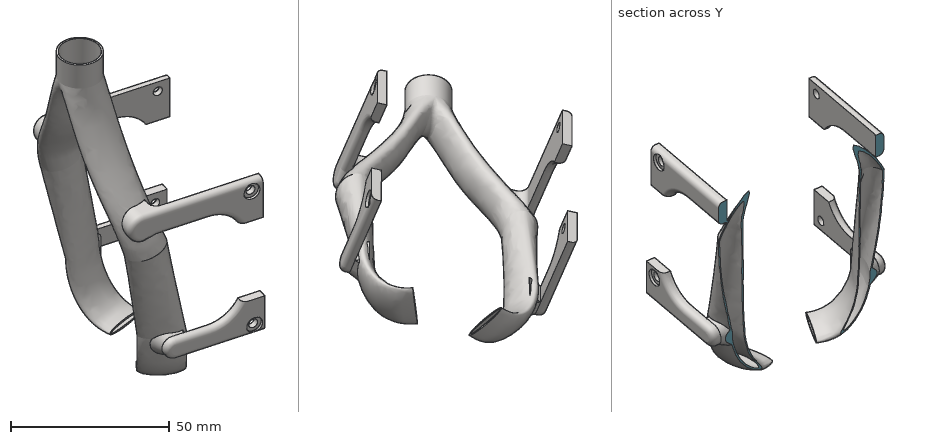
import cadquery as cq
import math


height = 123.6
stem_diameter = 15.0
bore_diameter = 13.6
wall = (stem_diameter - bore_diameter) / 2
stem_bottom = 114.4
crotch_radius = 1.6

crown = dict(center=(0, 0, stem_bottom), width=stem_diameter, depth=stem_diameter)
shoulder = dict(center=(-6.2, 0.7, 103.8), width=8.2, depth=15.3)
thigh = dict(center=(-13.2, 2.6, 89.0), width=9.1, depth=15.3)
lower_thigh = dict(center=(-22.3, 5.2, 74.2), width=10.3, depth=14.8)
knee = dict(center=(-27.5, 8.5, 61.2), width=11.4, depth=14.6, tilt=14)
ankle_center = (-25.8, 15.3, 23.9)
ankle_width = 5.8
ankle = dict(center=ankle_center, width=ankle_width, depth=15.8, turn=23)

hook_reach = 16.1
hook_heading = 28
tip_thickness = 3.2
hook_drop = ankle_center[2] - tip_thickness / 2
hook_steps = 3

plate_thickness = 3.2
edge_radius = 2.0
pad_corner_y = 40.0
arm_end_y = 28.8
hole_y = 44.4
hole_diameter = 3.2
counterbore_diameter = 5.7
counterbore_depth = 1.0
hole_inset = 3.7

POSITION_GAP = 0.1


def section(center, width, depth, tilt=0, turn=0, pitch=0, shrink=0.0):
    """Ellipse wire; its width lies along X and its depth along Y before it is tilted and turned."""
    origin = cq.Vector(0, 0, 0)
    x_axis = cq.Vector(1, 0, 0)
    y_axis = cq.Vector(0, 1, 0)
    z_axis = cq.Vector(0, 0, 1)
    wire = cq.Wire.makeEllipse(depth / 2 - shrink, width / 2 - shrink, origin, z_axis, y_axis)
    wire = wire.rotate(origin, x_axis, tilt)
    wire = wire.rotate(origin, y_axis, pitch)
    wire = wire.rotate(origin, z_axis, turn)
    return wire.translate(cq.Vector(*center))


def hook_station(fraction):
    """Section dimensions at a fraction of the way from the ankle to the tip."""
    angle = fraction * math.pi / 2
    heading = math.radians(hook_heading)
    reach = hook_reach * (1 - math.cos(angle))
    drop = hook_drop * math.sin(angle)
    x, y, z = ankle_center
    slope = math.atan2(hook_reach * math.sin(angle), hook_drop * math.cos(angle))
    return dict(
        center=(x + reach * math.cos(heading), y + reach * math.sin(heading), z - drop),
        width=ankle_width + (tip_thickness - ankle_width) * fraction ** 2,
        depth=ankle["depth"],
        turn=ankle["turn"],
        pitch=-math.degrees(slope),
    )


def loft(stations, shrink):
    """Solid through the sections at the given stations."""
    wires = [section(shrink=shrink, **station) for station in stations]
    return cq.Workplane(cq.Solid.makeLoft(wires))


def leg(shrink):
    """Left leg, cut off at the middle plane; shrink moves its skin inward to give the hollow."""
    left_side = cq.Workplane().box(height, height, height, centered=(False, True, False))
    left_side = left_side.translate((-height, 0, 0))
    thigh_part = loft([crown, shoulder, thigh, lower_thigh, knee], shrink).intersect(left_side)
    shin_part = loft([knee, ankle], shrink)
    hook_part = loft([hook_station(i / hook_steps) for i in range(hook_steps + 1)], shrink)
    return thigh_part.union(shin_part).union(hook_part)


def mounting_arm(side, outer_x, base_z, toward, arm_height, pad_height, rear_y, hole_z,
                 nose_y, nose_radius, boss_rear_y, boss_x, flare=0, heel_radius=0):
    """Plate with a deeper pad at the rear, a round nose and a boss that reaches into the leg.

    The boss either widens toward the leg by the flare angle or joins the plate with a round heel.
    """
    inner_x = outer_x - plate_thickness
    arm_z = base_z + toward * arm_height
    pad_z = base_z + toward * pad_height
    nose_z = base_z + toward * nose_radius
    nose_end_z = base_z + toward * 2 * nose_radius
    run = pad_corner_y - arm_end_y
    rise = pad_height - arm_height
    sweep_radius = (run ** 2 + rise ** 2) / (2 * rise)
    half_sweep = math.asin(run / sweep_radius) / 2
    sweep_mid = (arm_end_y + sweep_radius * math.sin(half_sweep),
                 arm_z + toward * sweep_radius * (1 - math.cos(half_sweep)))

    def front_end(x):
        """Outline in the plane X = x, open at the rear, ending under the rear of the boss."""
        return (
            cq.Workplane("YZ", origin=(x, 0, 0)).moveTo(boss_rear_y, base_z).lineTo(nose_y, base_z)
            .threePointArc((nose_y - nose_radius, nose_z), (nose_y, nose_end_z))
            .lineTo(boss_rear_y, arm_z)
        )

    def bore(diameter, depth):
        """Cylinder that enters the plate from its outer face."""
        outer_face = cq.Workplane("YZ", origin=(-outer_x, 0, 0))
        return outer_face.center(hole_y, hole_z).circle(diameter / 2).extrude(depth)

    plate = (
        front_end(-outer_x).lineTo(arm_end_y, arm_z)
        .threePointArc(sweep_mid, (pad_corner_y, pad_z))
        .lineTo(rear_y, pad_z).lineTo(rear_y, base_z).close().extrude(plate_thickness)
    )
    pad_middle = (pad_corner_y + rear_y) / 2
    outer_edges = plate.faces("<X").edges().vals()
    rim = [edge for edge in outer_edges if edge.Center().y < pad_middle - POSITION_GAP]
    plate = plate.newObject(rim).fillet(edge_radius)

    boss = front_end(-inner_x).close().extrude(inner_x - boss_x, taper=-flare)
    arm = plate.union(boss)
    if heel_radius > 0:
        heel = cq.selectors.BoxSelector(
            (-inner_x - POSITION_GAP, boss_rear_y - POSITION_GAP, 0),
            (-inner_x + POSITION_GAP, boss_rear_y + POSITION_GAP, height),
        )
        arm = arm.edges("|Z").edges(heel).fillet(heel_radius)
    arm = arm.cut(bore(hole_diameter, plate_thickness)).cut(bore(counterbore_diameter, counterbore_depth))
    arm = arm.cut(hollow_leg)
    return arm if side == "left" else arm.mirror("YZ")


def stem(diameter):
    """Upright cylinder from the top of the legs to the top of the part."""
    return cq.Workplane().workplane(offset=stem_bottom).circle(diameter / 2).extrude(height - stem_bottom)


solid_leg = leg(0)
hollow_leg = leg(wall)
result = solid_leg.union(solid_leg.mirror("YZ")).union(stem(stem_diameter))
crease = cq.selectors.BoxSelector(
    (-POSITION_GAP, -stem_diameter, 0), (POSITION_GAP, stem_diameter, height - POSITION_GAP)
)
result = result.edges("%BSPLINE").edges(crease).fillet(crotch_radius)
result = result.cut(hollow_leg).cut(hollow_leg.mirror("YZ")).cut(stem(bore_diameter))

upper = dict(outer_x=32.3, base_z=77.1, toward=-1, arm_height=8.9, pad_height=15.2,
             nose_y=5.5, nose_radius=5.1, boss_rear_y=10.1, boss_x=23.7, heel_radius=3.1)
lower = dict(outer_x=34.0, base_z=18.5, toward=1, arm_height=7.2, pad_height=13.8,
             nose_y=16.2, nose_radius=3.6, boss_rear_y=20.4, boss_x=26.6, flare=25)
upper_hole_z = upper["base_z"] - hole_inset
left_lower_hole_z = 28.4
right_lower_hole_z = lower["base_z"] + hole_inset

left_rear_y = 48.7
right_upper_rear_y = 48.5
right_lower_rear_y = 48.1

for arm in (
    mounting_arm("left", rear_y=left_rear_y, hole_z=upper_hole_z, **upper),
    mounting_arm("right", rear_y=right_upper_rear_y, hole_z=upper_hole_z, **upper),
    mounting_arm("left", rear_y=left_rear_y, hole_z=left_lower_hole_z, **lower),
    mounting_arm("right", rear_y=right_lower_rear_y, hole_z=right_lower_hole_z, **lower),
):
    result = result.union(arm)